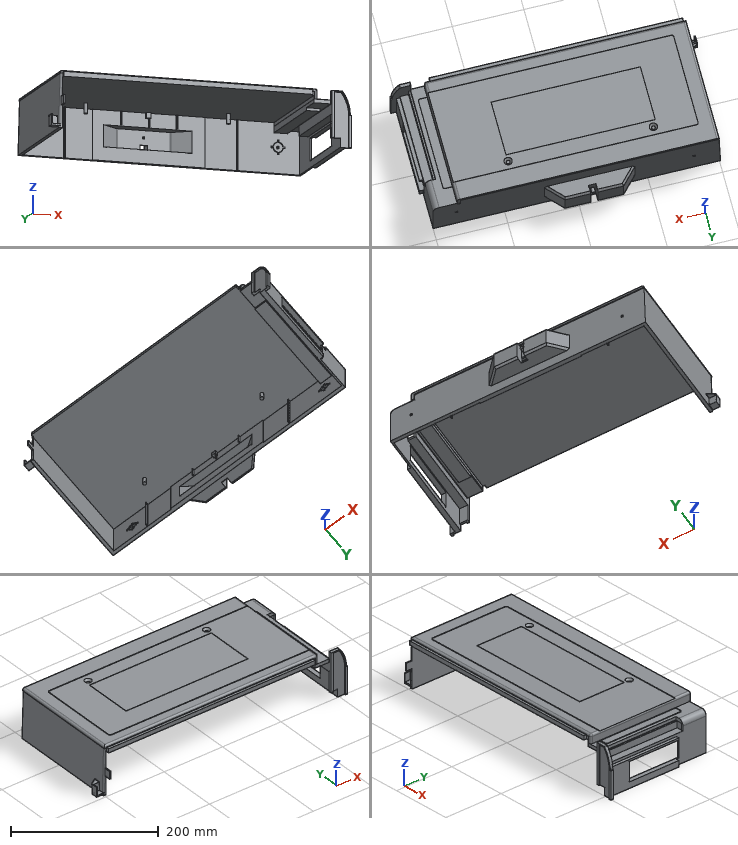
import cadquery as cq


front_y = 10.5
rear_y = 189.5
seam_z = 75.5
ledge_z = 65.5
cover_right_x = 379.0
seat_left_x = 13.0
cover_lip = 4.5
panel_left, panel_right = 35.5, 391.5
panel_front, panel_rear = 27.5, 164.0
panel_radius = 3.0
panel_depth = 1.0
screw_xs = (95.3, 298.0)
screw_y = 152.3

cover_top_z = 80.0
cover_overhang = 1.3
cover_fillet = 3.5
label_left, label_right = 90.0, 298.5
label_front, label_rear = 62.0, 142.5
label_depth = 0.5
screw_head_diameter = 11.0
screw_hole_diameter = 5.0

foot_left_x = 11.0
wall_thickness = 5.0
ceiling_z = 70.0
wall_inner_x = foot_left_x + wall_thickness
right_x = 412.5
right_wall = 2.5
step_inner_x = 373.5
ledge_under_z = 60.0
shoulder_radius = 8.5
edge_fillet = 2.0
rear_inner_y = rear_y - wall_thickness

lip_left, lip_right = 16.5, 370.5
lip_front_y = 5.5
lip_top_z = 77.0
hook_left, hook_width = 14.0, 2.0
hook_bottom_z, hook_top_z = 31.5, 44.0

tab_bottom_z, tab_top_z = 2.5, 18.5
tab_floor, tab_wall, tab_plate = 2.5, 1.5, 1.3
tab_back_y = 21.0
tab_tip_y, tab_root_y = 22.0, 29.5

slot_left, slot_rear = 398.0, 147.5
rim_left, rim_thickness = 397.2, 3.5
rim_bottom_z, rim_top_z = 45.0, 49.5
window_front, window_rear = 46.5, 140.5
window_bottom_z, window_top_z = 10.0, 41.5
strip_right, strip_rear, strip_top_z = 417.5, 135.5, 45.0
stiffener_bottom_z = 56.0
stiffener_front, stiffener_right = 42.5, 392.5
bracket_left, bracket_right = 397.2, 423.5
bracket_foot_left, bracket_foot_z = 410.0, 12.8
bracket_top_z = 78.0
bracket_crown_x = 412.0
bracket_arc_mid = (419.5, 66.0)
bracket_arc_end_z = 46.8
bracket_left_border, bracket_border = 4.0, 1.5
bracket_recess_depth = 2.0
rail_right_x, rail_top_z = 425.5, 45.0

pad_left, pad_right, pad_height = 115.3, 275.0, 1.3
rib_width, rib_depth = 1.3, 4.3
long_rib_xs = (75.0, 320.5)
short_rib_xs = (155.2, 195.2, 234.8)
block_width, block_bottom_z, block_depth = 7.0, 62.5, 6.0
boss_bottom_z = 56.0
boss_diameter = 5.0
mount_xs = (48.0, 380.0)
mount_z = 36.5
mount_diameter, mount_depth = 14.0, 1.5
mount_hole_diameter = 3.5
mount_slot_length, mount_slot_width = 19.5, 2.0

box_root_left, box_root_right = 130.5, 257.5
box_tip_left, box_tip_right = 152.5, 234.8
box_rear_y = 214.0
box_bottom_z, box_top_z = 17.5, 51.5
box_bevel = 3.0
box_skin = 1.5
cavity_root_left, cavity_root_right = 131.0, 256.5
cavity_tip_left, cavity_tip_right = 155.2, 231.5
cavity_bevel = 1.0
notch_left, notch_right, notch_y = 188.5, 198.5, 202.5
notch_web = 2.0
drain_top_z = 29.5
pin_z, pin_diameter, pin_length = 40.0, 5.0, 7.5
pin_hole_diameter = 2.5


def block(x0, x1, y0, y1, z0, z1):
    """Box between opposite corners."""
    return cq.Workplane("XY").box(x1 - x0, y1 - y0, z1 - z0, centered=False).translate((x0, y0, z0))


def rod_y(x, z, diameter, y0, y1):
    """Cylinder along Y."""
    circle = cq.Workplane("XZ", origin=(x, y0, z)).circle(diameter / 2)
    return circle.extrude(y0 - y1)


def panel_recess(top_z):
    """Shallow rounded rectangle sunk into a flat top at the given height."""
    recess = block(panel_left, panel_right, panel_front, panel_rear, top_z - panel_depth, top_z)
    return recess.edges("|Z").fillet(panel_radius)


def make_cover():
    rear = rear_y + cover_overhang
    cover = block(seat_left_x, cover_right_x, front_y, rear, ledge_z, cover_top_z)
    cover = cover.faces(">X").edges("<Y").fillet(cover_fillet)
    cover = cover.faces(">Z").edges("not >Y").fillet(cover_fillet)
    cover = cover.cut(block(seat_left_x, cover_right_x - cover_lip, front_y, rear, ledge_z, seam_z))

    cover = cover.cut(panel_recess(cover_top_z))
    label_z = cover_top_z - panel_depth
    cover = cover.cut(block(label_left, label_right, label_front, label_rear, label_z - label_depth, label_z))

    sink_depth = (screw_head_diameter - screw_hole_diameter) / 2
    for x in screw_xs:
        hole = cq.Workplane("XY", origin=(x, screw_y, seam_z)).circle(screw_hole_diameter / 2)
        cover = cover.cut(hole.extrude(cover_top_z - seam_z))
        sink = cq.Workplane("XY", origin=(x, screw_y, label_z)).circle(screw_head_diameter / 2)
        sink = sink.workplane(offset=-sink_depth).circle(screw_hole_diameter / 2).loft(ruled=True)
        cover = cover.cut(sink)
    return cover


def base_shell():
    """Top, left wall, stepped ledge, right wall and rear wall, open at the front and below."""
    seat_right_x = cover_right_x - cover_lip
    outer = (
        cq.Workplane("XZ", origin=(0, front_y, 0))
        .moveTo(foot_left_x, 0)
        .lineTo(seat_left_x, seam_z)
        .lineTo(seat_right_x, seam_z)
        .lineTo(seat_right_x, ledge_z)
        .lineTo(right_x - shoulder_radius, ledge_z)
        .radiusArc((right_x, ledge_z - shoulder_radius), shoulder_radius)
        .lineTo(right_x, 0)
        .close()
        .extrude(front_y - rear_y)
    )
    left_front_edge = outer.faces("<X").edges("<Y")
    outer = left_front_edge.fillet(edge_fillet)
    inner = (
        cq.Workplane("XZ", origin=(0, front_y, 0))
        .moveTo(wall_inner_x, 0)
        .lineTo(wall_inner_x, ceiling_z)
        .lineTo(step_inner_x, ceiling_z)
        .lineTo(step_inner_x, ledge_under_z)
        .lineTo(right_x - right_wall, ledge_under_z)
        .lineTo(right_x - right_wall, 0)
        .close()
        .extrude(front_y - rear_inner_y)
    )
    return outer.cut(inner)


def front_lip():
    return block(lip_left, lip_right, lip_front_y, front_y, ceiling_z, lip_top_z)


def hook():
    return block(hook_left, hook_left + hook_width, 0, front_y + edge_fillet, hook_bottom_z, hook_top_z)


def left_tab():
    """Open-fronted pocket beside the left wall, with a gusset plate behind it."""
    root_x = wall_inner_x - wall_thickness / 2
    floor = block(0, root_x, front_y, tab_back_y, tab_bottom_z, tab_bottom_z + tab_floor)
    side = block(0, tab_wall, front_y, tab_back_y, tab_bottom_z, tab_top_z)
    back = block(0, root_x, tab_back_y - tab_wall, tab_back_y, tab_bottom_z, tab_top_z)
    plate = (
        cq.Workplane("XY", origin=(0, 0, tab_top_z - tab_plate))
        .polyline([
            (0, tab_back_y - tab_wall),
            (0, tab_tip_y),
            (foot_left_x, tab_root_y),
            (root_x, tab_root_y),
            (root_x, tab_back_y - tab_wall),
        ])
        .close()
        .extrude(tab_plate)
    )
    return floor.union(side).union(back).union(plate)


def bracket_profile(left, top_z, border):
    """Bracket outline down to the lower rim, its crown and outer edge moved inward by the border."""
    mid_x, mid_z = bracket_arc_mid
    return (
        cq.Workplane("XZ", origin=(0, lip_front_y, 0))
        .moveTo(left, 0)
        .lineTo(left, top_z)
        .lineTo(bracket_crown_x - border / 2, top_z)
        .threePointArc((mid_x - border, mid_z - border / 2), (bracket_right - border, bracket_arc_end_z))
        .lineTo(bracket_right - border, 0)
        .close()
    )


def bracket():
    """Upright front plate at the right end: rounded crown, recessed face and a slim rail outside."""
    plate = bracket_profile(bracket_left, bracket_top_z, 0).extrude(lip_front_y - front_y)
    plate = plate.union(block(bracket_right, rail_right_x, lip_front_y, front_y, 0, rail_top_z))
    recess_left = bracket_left + bracket_left_border
    recess = bracket_profile(recess_left, bracket_top_z - bracket_border, bracket_border)
    plate = plate.cut(recess.extrude(-bracket_recess_depth))
    return plate.cut(block(bracket_left, bracket_foot_left, lip_front_y, front_y, 0, bracket_foot_z))


def add_right_side(base):
    base = base.cut(block(slot_left, right_x, front_y, slot_rear, rim_top_z, ledge_z))
    rim_right = rim_left + rim_thickness
    base = base.union(block(rim_left, rim_right, front_y, slot_rear, rim_bottom_z, ledge_under_z))
    base = base.union(block(rim_left, slot_left, front_y, slot_rear, ledge_under_z, ledge_z))
    base = base.union(block(rim_left, right_x, front_y, slot_rear, rim_bottom_z, rim_top_z))
    base = base.union(block(right_x, strip_right, front_y, strip_rear, 0, strip_top_z))
    inner_x = right_x - right_wall
    window = block(inner_x, strip_right, window_front, window_rear, window_bottom_z, window_top_z)
    base = base.cut(window)
    base = base.union(
        block(step_inner_x, stiffener_right, stiffener_front, rear_inner_y, stiffener_bottom_z, ledge_under_z)
    )
    return base.union(bracket())


def trapezoid(points, bottom_z, top_z):
    """Upright block over a four-cornered plan outline."""
    return cq.Workplane("XY", origin=(0, 0, bottom_z)).polyline(points).close().extrude(top_z - bottom_z)


def add_rear_box(base):
    """Hollow box on the rear wall, open to the inside, with a notch and a pin in the notch."""
    solid = trapezoid(
        [
            (box_root_left, rear_y),
            (box_tip_left, box_rear_y),
            (box_tip_right, box_rear_y),
            (box_root_right, rear_y),
        ],
        box_bottom_z,
        box_top_z,
    )
    solid = solid.faces(">Z or <Z").edges("not <Y").chamfer(box_bevel)

    opening_y = rear_inner_y - pad_height
    cavity_y = notch_y - notch_web
    cavity_bottom, cavity_top = box_bottom_z + box_skin, box_top_z - box_skin
    cavity = trapezoid(
        [
            (cavity_root_left, opening_y),
            (cavity_tip_left, cavity_y),
            (cavity_tip_right, cavity_y),
            (cavity_root_right, opening_y),
        ],
        cavity_bottom,
        cavity_top,
    )
    cavity = cavity.edges("|Z").edges(">Y").chamfer(cavity_bevel)
    base = base.union(solid).cut(cavity)

    base = base.cut(block(notch_left, notch_right, notch_y, box_rear_y, box_bottom_z, box_top_z))
    base = base.cut(block(notch_left, notch_right, cavity_y, notch_y, cavity_bottom, drain_top_z))

    pin_x = (notch_left + notch_right) / 2
    base = base.union(rod_y(pin_x, pin_z, pin_diameter, notch_y, notch_y + pin_length))
    return base.cut(rod_y(pin_x, pin_z, pin_hole_diameter, cavity_y, notch_y))


def add_rear_wall_details(base):
    """Raised pad, stiffening ribs and a small block inside the rear wall."""
    base = base.union(block(pad_left, pad_right, rear_inner_y - pad_height, rear_inner_y, 0, ceiling_z))
    rib_front_y = rear_inner_y - rib_depth
    ribs = [(x, 0) for x in long_rib_xs] + [(x, box_top_z) for x in short_rib_xs]
    for x, bottom_z in ribs:
        rib = block(x - rib_width / 2, x + rib_width / 2, rib_front_y, rear_inner_y, bottom_z, ceiling_z)
        base = base.union(rib)
    block_x = (notch_left + notch_right) / 2
    half = block_width / 2
    front = rear_inner_y - block_depth
    return base.union(block(block_x - half, block_x + half, front, rear_inner_y, block_bottom_z, ceiling_z))


def cut_mounts(base):
    """Round recess with four short slots and a through hole, at both ends of the rear wall."""
    floor_y = rear_inner_y + mount_depth
    half_length, half_width = mount_slot_length / 2, mount_slot_width / 2
    for x in mount_xs:
        base = base.cut(rod_y(x, mount_z, mount_diameter, rear_inner_y, floor_y))
        for half_x, half_z in ((half_length, half_width), (half_width, half_length)):
            slot = block(x - half_x, x + half_x, rear_inner_y, floor_y, mount_z - half_z, mount_z + half_z)
            base = base.cut(slot)
        base = base.cut(rod_y(x, mount_z, mount_hole_diameter, rear_inner_y, rear_y))
    return base


def add_screw_bosses(base):
    for x in screw_xs:
        boss = cq.Workplane("XY", origin=(x, screw_y, boss_bottom_z)).circle(boss_diameter / 2)
        base = base.union(boss.extrude(seam_z - boss_bottom_z))
    return base


def make_base():
    base = base_shell()
    base = base.union(front_lip()).union(hook()).union(left_tab())
    base = add_right_side(base)
    base = add_rear_wall_details(base)
    base = add_rear_box(base)
    base = cut_mounts(base)
    base = add_screw_bosses(base)
    ledge_recess = panel_recess(ledge_z)
    beyond_cover = block(cover_right_x, panel_right, panel_front, panel_rear, ledge_z - panel_depth, ledge_z)
    return base.cut(ledge_recess.intersect(beyond_cover))


cover = make_cover()
base = make_base()

result = cq.Compound.makeCompound([cover.val(), base.val()])